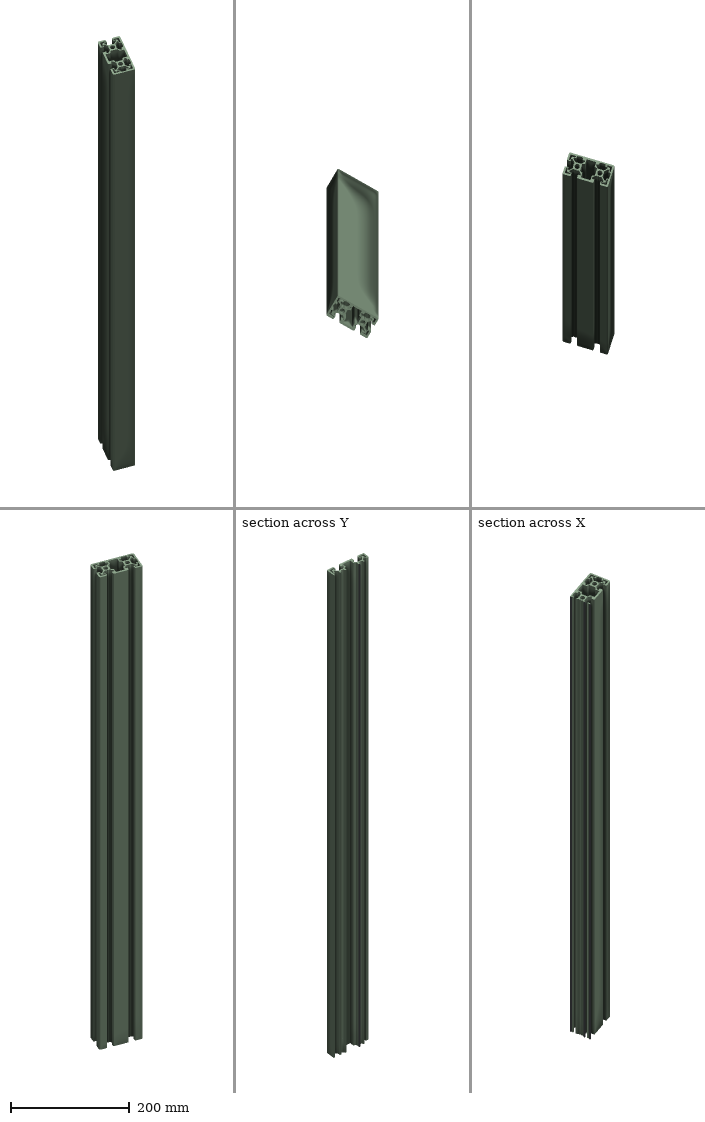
import cadquery as cq

length = 1000.0
cell = 40.0
width = 2 * cell
depth = cell
corner_radius = 2.3
face = cell / 2
cell_centres = (-cell / 2, cell / 2)

neck_half = 5.5
mouth_half = 6.3
mouth_bevel_depth = 2.0
lip_thickness = 6.5
chamber_half = 9.9
core_half = 6.9
web_offset = 1.2
floor_dip = 0.8
floor_bevel = 0.9
floor_groove = 1.1

cover_thickness = 2.2
cover_inner_half = 2.5
cover_bevel_depth = 0.8

bore_radius = 4.3
cavity_shoulder = 6.4
cavity_shoulder_rise = 1.7
cavity_half = 8.4
cavity_wall = 3.4
hollow_wall = 3.2
hollow_reach = 12.8
hollow_arm_depth = 5.4
hollow_heel = 6.3


def prism(points):
    """Full-length prism with the given cross-section."""
    return cq.Workplane("XY").polyline(points).close().extrude(length)


def flipped_y(points):
    return [(x, -y) for x, y in reversed(points)]


def flipped_x(points):
    return [(-x, y) for x, y in reversed(points)]


def slot(opening):
    """Slot facing +X in a cell at the origin; opening is the upper half of its outer end."""
    lip_inner = face - lip_thickness
    floor_side = core_half - floor_dip
    floor_side_half = floor_side - web_offset
    upper_half = opening + [
        (lip_inner, neck_half),
        (lip_inner, chamber_half),
        (chamber_half + web_offset, chamber_half),
        (floor_side + floor_bevel, floor_side_half + floor_bevel),
        (floor_side, floor_side_half - floor_bevel),
        (core_half, floor_groove),
    ]
    groove_bottom = [(core_half - floor_groove, 0)]
    return prism(upper_half + groove_bottom + flipped_y(upper_half))


def placed(cutter, angle, x):
    return cutter.rotate((0, 0, 0), (0, 0, 1), angle).translate((x, 0, 0))


def cut_slots(body):
    """Open slots at the bottom and left, covered slots at the top and right."""
    open_slot = slot([
        (face, mouth_half),
        (face - mouth_bevel_depth, neck_half),
    ])
    covered_slot = slot([
        (face - cover_thickness, cover_inner_half),
        (face - cover_thickness - cover_bevel_depth, neck_half),
    ])
    left, right = cell_centres
    for x in cell_centres:
        body = body.cut(placed(open_slot, -90, x))
        body = body.cut(placed(covered_slot, 90, x))
    body = body.cut(placed(open_slot, 180, left))
    return body.cut(placed(covered_slot, 0, right))


def cut_core_bores(body):
    centres = [(x, 0) for x in cell_centres]
    return body.cut(cq.Workplane("XY").pushPoints(centres).circle(bore_radius).extrude(length))


def cut_central_cavity(body):
    """Cross-shaped cavity between the two cores."""
    quarter = [
        (cell / 2 - core_half, cavity_shoulder),
        (cavity_half, cavity_shoulder + cavity_shoulder_rise),
        (cavity_half, face - cavity_wall),
    ]
    upper_half = quarter + flipped_x(quarter)
    return body.cut(prism(upper_half + flipped_y(upper_half)))


def cut_corner_hollows(body):
    """L-shaped hollow behind each outer corner, with points measured in from the corner."""
    outline = [
        (hollow_wall, hollow_wall),
        (hollow_reach, hollow_wall),
        (hollow_reach, hollow_arm_depth),
        (hollow_heel, hollow_heel),
        (hollow_arm_depth, hollow_reach),
        (hollow_wall, hollow_reach),
    ]
    for side_x in (-1, 1):
        for side_y in (-1, 1):
            points = [(side_x * (width / 2 - x), side_y * (depth / 2 - y)) for x, y in outline]
            body = body.cut(prism(points))
    return body


bar = cq.Workplane("XY").rect(width, depth).extrude(length).edges("|Z").fillet(corner_radius)
bar = cut_slots(bar)
bar = cut_core_bores(bar)
bar = cut_central_cavity(bar)
result = cut_corner_hollows(bar)